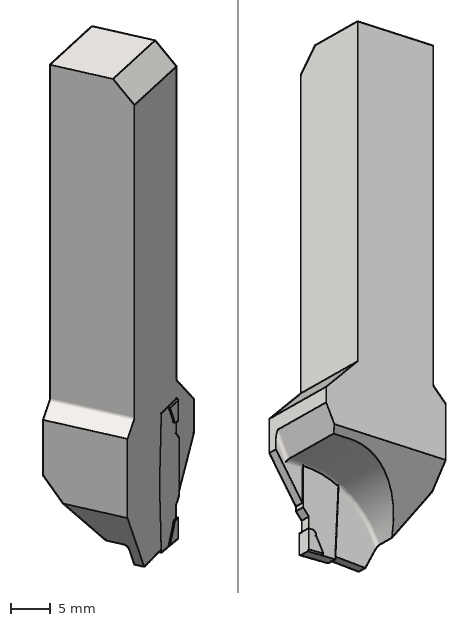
import cadquery as cq
import math

total_height = 70.0
shank_width = 11.9
shank_depth = 12.0
shank_front = 1.95
shank_back = shank_front + shank_depth
top_chamfer = 3.0
head_depth = 18.9
neck_height = 22.6
neck_fillet = 0.55
head_front_bottom = 9.45
head_back_bottom = 12.9
toe_front = (4.75, 0.35)
toe_back = (10.0, 0.6)
back_slope_end = (14.85, 6.8)

slope_top = 12.8
slope_run = 10.4
slope_drop = 12.4

blade_face = 10.5
clearance_radius = 12.5
clearance_center_y = 14.55
clearance_top = 11.9
clearance_corner_y = 17.15
clearance_rise = 3.6
clearance_fillet = 0.55

insert_length = 20.0
insert_face = 10.35
insert_back = 14.7
insert_tip_y = 14.0
insert_neck_y = 13.8
insert_mid_front = 9.1
insert_end_front = 9.6
insert_end_relief = 0.15
neck_top = 4.9
shoulder_height = 5.95
tip_height = 3.15
tip_overhang = 0.2
tip_flat_y = 13.45
tip_flank_top = (12.8, 2.45)
tip_flank_end_y = 11.55
tip_edge_chamfer = 0.2

margin = 3.5


def side_plane(x):
    """Plane at the given X whose local axes are Y and Z."""
    return cq.Workplane("YZ", origin=(x, 0, 0))


def make_insert_half():
    """Lower half of the insert, with one cutting tip."""
    middle = insert_length / 2
    body = (
        side_plane(insert_face)
        .polyline([
            (insert_mid_front, middle),
            (insert_end_front, insert_end_relief),
            (insert_tip_y, 0),
            (insert_tip_y, tip_height),
            (insert_neck_y, tip_height),
            (insert_neck_y, neck_top),
            (insert_back, shoulder_height),
            (insert_back, middle),
        ])
        .close()
        .extrude(shank_width - insert_face)
    )
    tip_start = insert_face - tip_overhang
    tip_width = shank_width + tip_overhang - tip_start
    relief_slope = insert_end_relief / (insert_tip_y - insert_end_front)
    flank_end_z = relief_slope * (insert_tip_y - tip_flank_end_y)
    tip = (
        side_plane(tip_start)
        .moveTo(insert_tip_y, 0)
        .lineTo(insert_tip_y, tip_height)
        .lineTo(tip_flat_y, tip_height)
        .tangentArcPoint(tip_flank_top, relative=False)
        .lineTo(tip_flank_end_y, flank_end_z)
        .close()
        .extrude(tip_width)
        .faces("<Z").edges("not |X")
        .chamfer(tip_edge_chamfer)
    )
    return body.union(tip)


def make_insert():
    """Two mirrored halves joined at mid length."""
    half = make_insert_half()
    other_half = half.mirror("XY", (0, 0, insert_length / 2))
    return half.union(other_half).clean()


def make_blank():
    """Side outline of shank and head through the full thickness."""
    neck_step_back = head_depth - shank_back
    blank = (
        side_plane(0)
        .polyline([
            (shank_front, total_height),
            (shank_front, neck_height),
            (0, neck_height - shank_front),
            (0, head_front_bottom),
            toe_front,
            toe_back,
            back_slope_end,
            (head_depth, head_back_bottom),
            (head_depth, neck_height - neck_step_back),
            (shank_back, neck_height),
            (shank_back, total_height),
        ])
        .close()
        .extrude(shank_width)
    )
    blank = blank.edges(
        cq.selectors.NearestToPointSelector((shank_width / 2, shank_front, neck_height))
    ).fillet(neck_fillet)
    return blank.faces(">Z").edges(">X").chamfer(top_chamfer)


def make_slope_cutter():
    """Wedge below the slanted underside, stopping at the blade face."""
    slope = slope_drop / slope_run
    return (
        cq.Workplane("XZ", origin=(0, -margin, 0))
        .polyline([
            (-margin, slope_top + slope * margin),
            (blade_face, slope_top - slope * blade_face),
            (blade_face, -margin),
            (-margin, -margin),
        ])
        .close()
        .extrude(-(head_depth + 2 * margin))
    )


def make_clearance_cutter():
    """Rounded clearance beside the blade, filleted where it meets the blade face."""
    center_z = clearance_top - clearance_radius
    diagonal = clearance_radius * math.sqrt(0.5)
    rise_slope = clearance_rise / (head_depth - clearance_corner_y)
    outer_y = head_depth + margin
    return (
        side_plane(-margin)
        .moveTo(clearance_center_y - clearance_radius, center_z)
        .threePointArc(
            (clearance_center_y - diagonal, center_z + diagonal),
            (clearance_center_y, clearance_top),
        )
        .lineTo(clearance_corner_y, clearance_top)
        .lineTo(outer_y, clearance_top + rise_slope * (outer_y - clearance_corner_y))
        .lineTo(outer_y, center_z)
        .close()
        .extrude(blade_face + margin)
        .faces(">X").edges().fillet(clearance_fillet)
    )


def make_holder(insert):
    """Shank with the thin blade, cut out to seat the insert."""
    holder = make_blank().cut(make_slope_cutter()).cut(make_clearance_cutter())
    return holder.cut(insert)


insert = make_insert()
holder = make_holder(insert)

result = cq.Compound.makeCompound([holder.val(), insert.val()])